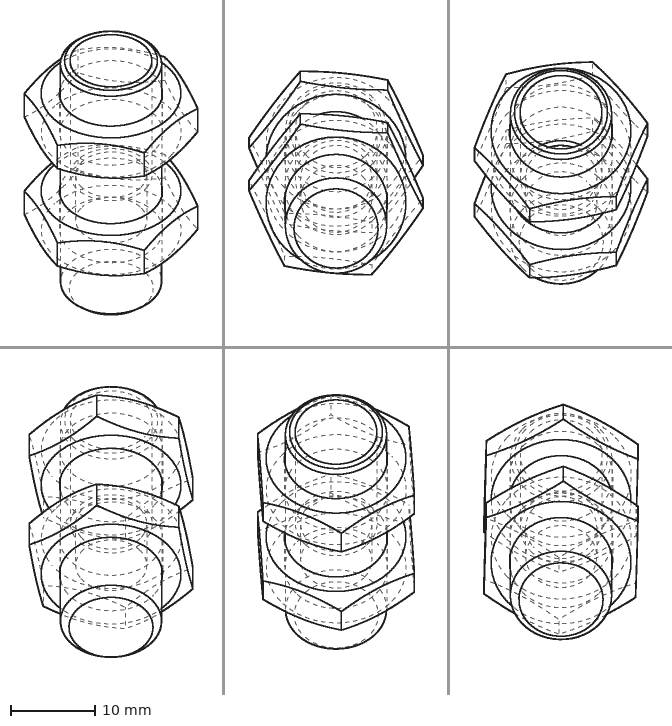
import cadquery as cq
import math

sleeve_length = 35.0
sleeve_diameter = 12.0
top_chamfer = 0.5
bottom_chamfer = 1.0

bore_diameter = 9.7
bore_depth = 17.5
inner_bore_diameter = 8.45
inner_bore_depth = 24.5

nut_across_flats = 18.0
nut_height = 6.0
nut_face_diameter = 16.6
nut_chamfer_angle = 30.0
nut_clearance = 0.1
upper_nut_top = sleeve_length - 5.0
nut_pitch = 15.0
nut_count = 2

nut_across_corners = nut_across_flats / math.cos(math.radians(30))
nut_hole_diameter = sleeve_diameter + 2 * nut_clearance


def make_sleeve():
    """Barrel chamfered at both ends, with a blind stepped bore."""
    barrel = cq.Workplane("XY").circle(sleeve_diameter / 2).extrude(sleeve_length)
    barrel = barrel.faces(">Z").edges().chamfer(top_chamfer)
    barrel = barrel.faces("<Z").edges().chamfer(bottom_chamfer)

    mouth = cq.Workplane("XY").workplane(offset=sleeve_length)
    bore = mouth.circle(bore_diameter / 2).extrude(-bore_depth)
    inner_bore = mouth.circle(inner_bore_diameter / 2).extrude(-inner_bore_depth)
    return barrel.cut(bore).cut(inner_bore)


def make_nut_envelope():
    """Turned shape whose conical ends bevel the corners of the hexagon."""
    face_radius = nut_face_diameter / 2
    corner_radius = nut_across_corners / 2
    corner_drop = (corner_radius - face_radius) * math.tan(math.radians(nut_chamfer_angle))
    return (
        cq.Workplane("XZ")
        .lineTo(face_radius, 0)
        .lineTo(corner_radius, corner_drop)
        .lineTo(corner_radius, nut_height - corner_drop)
        .lineTo(face_radius, nut_height)
        .lineTo(0, nut_height)
        .close()
        .revolve(360, (0, 0, 0), (0, 1, 0))
    )


def make_nut(bottom_z):
    """Bevelled hexagon nut that clears the sleeve, with its lower face at bottom_z."""
    hexagon = cq.Workplane("XY").polygon(6, nut_across_corners).extrude(nut_height)
    hole = cq.Workplane("XY").circle(nut_hole_diameter / 2).extrude(nut_height)
    nut = hexagon.intersect(make_nut_envelope()).cut(hole)
    return nut.translate((0, 0, bottom_z))


sleeve = make_sleeve()

nuts = []
for index in range(nut_count):
    nut_bottom = upper_nut_top - nut_height - index * nut_pitch
    nuts.append(make_nut(nut_bottom).val())

result = cq.Compound.makeCompound([sleeve.val(), *nuts])